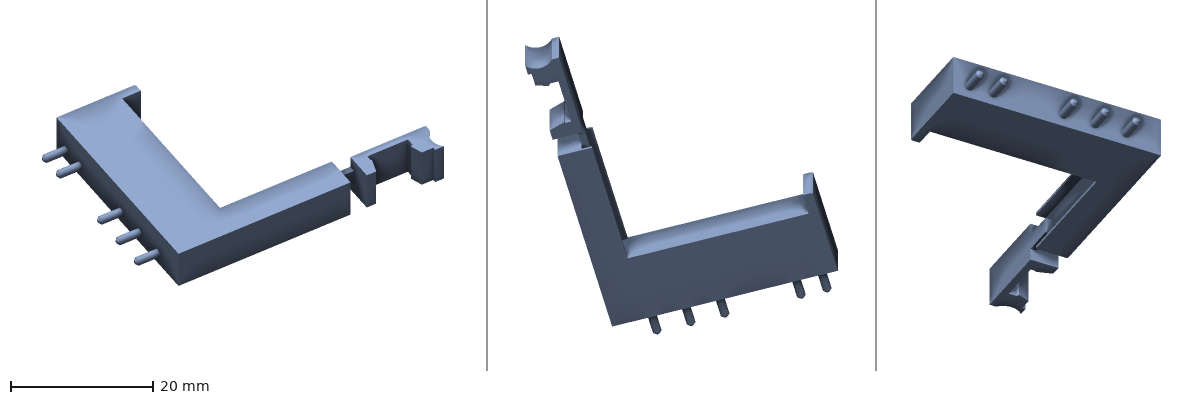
import cadquery as cq

thickness = 6.2

housing_width = 33.0
base_depth = 9.95
arm_width = 5.05
arm_end_y = 28.4
tab_width = 1.45
tab_end_y = 13.0
tab_chamfer_width = 0.3
tab_chamfer_drop = 0.15
arm_left_x = housing_width - arm_width

recess_depth = 1.55
lip_thickness = 0.43
recess_floor_x = arm_left_x + recess_depth

tongue_thickness = 1.0
tongue_height = 2.45
tongue_engagement = 1.9
clip_left_x = recess_floor_x - tongue_thickness
spine_right_x = 29.65
jaw_right_x = 32.95
lower_jaw_bottom_y = 31.08
lower_jaw_top_y = 33.2
lower_jaw_bump_x = 30.55
lower_jaw_bump_y = 33.4
lower_jaw_corner_y = 32.65
upper_jaw_bottom_y = 39.87
upper_jaw_notch_x = 30.9
upper_jaw_tip_x = 31.1
upper_jaw_tip_y = 39.5
upper_jaw_corner_y = 40.15
hook_right_x = 33.5
hook_bottom_y = 42.05
clip_end_y = 43.5
thumb_left_x = 29.55
thumb_depth = 0.9

pin_diameter = 1.3
pin_length = 3.8
pin_tip_chamfer = 0.4
pin_z = 1.9
pin_pitch = 4.95
first_pin_x = 2.5
second_pin_x = 6.3
third_pin_x = 17.45
pin_positions = [first_pin_x, second_pin_x] + [third_pin_x + i * pin_pitch for i in range(3)]


def make_housing():
    """L-shaped block with a short, corner-chamfered end tab and a recess along the arm."""
    body = (
        cq.Workplane("XY")
        .moveTo(0, 0)
        .lineTo(housing_width, 0)
        .lineTo(housing_width, arm_end_y)
        .lineTo(arm_left_x, arm_end_y)
        .lineTo(arm_left_x, base_depth)
        .lineTo(tab_width, base_depth)
        .lineTo(tab_width, tab_end_y)
        .lineTo(tab_chamfer_width, tab_end_y)
        .lineTo(0, tab_end_y - tab_chamfer_drop)
        .close()
        .extrude(thickness)
    )
    recess = cq.Workplane("XY").box(
        recess_depth,
        arm_end_y - base_depth,
        thickness - 2 * lip_thickness,
        centered=False,
    ).translate((arm_left_x, base_depth, lip_thickness))
    return body.cut(recess)


def make_clip():
    """Two-jawed clip with a concave thumb rest and a mounting tongue."""
    thumb_mid_x = (thumb_left_x + hook_right_x) / 2
    jaws = (
        cq.Workplane("XY")
        .moveTo(clip_left_x, lower_jaw_bottom_y)
        .lineTo(jaw_right_x, lower_jaw_bottom_y)
        .lineTo(jaw_right_x, lower_jaw_corner_y)
        .lineTo(lower_jaw_bump_x, lower_jaw_bump_y)
        .lineTo(lower_jaw_bump_x, lower_jaw_top_y)
        .lineTo(spine_right_x, lower_jaw_top_y)
        .lineTo(spine_right_x, upper_jaw_bottom_y)
        .lineTo(upper_jaw_notch_x, upper_jaw_bottom_y)
        .lineTo(upper_jaw_tip_x, upper_jaw_tip_y)
        .lineTo(jaw_right_x, upper_jaw_corner_y)
        .lineTo(jaw_right_x, hook_bottom_y)
        .lineTo(hook_right_x, hook_bottom_y)
        .lineTo(hook_right_x, clip_end_y)
        .threePointArc((thumb_mid_x, clip_end_y - thumb_depth), (thumb_left_x, clip_end_y))
        .lineTo(clip_left_x, clip_end_y)
        .close()
        .extrude(thickness)
    )
    tongue_start_y = arm_end_y - tongue_engagement
    tongue = cq.Workplane("XY").box(
        tongue_thickness,
        lower_jaw_bottom_y - tongue_start_y,
        tongue_height,
        centered=False,
    ).translate((clip_left_x, tongue_start_y, (thickness - tongue_height) / 2))
    return jaws.union(tongue)


def make_pin(x):
    """Round pin standing on the front face, chamfered at its free end."""
    return (
        cq.Workplane("XZ")
        .center(x, pin_z)
        .circle(pin_diameter / 2)
        .extrude(pin_length)
        .faces("<Y")
        .chamfer(pin_tip_chamfer)
    )


housing = make_housing()
clip = make_clip()
pins = [make_pin(x) for x in pin_positions]

result = cq.Compound.makeCompound([housing.val(), clip.val(), *[pin.val() for pin in pins]])